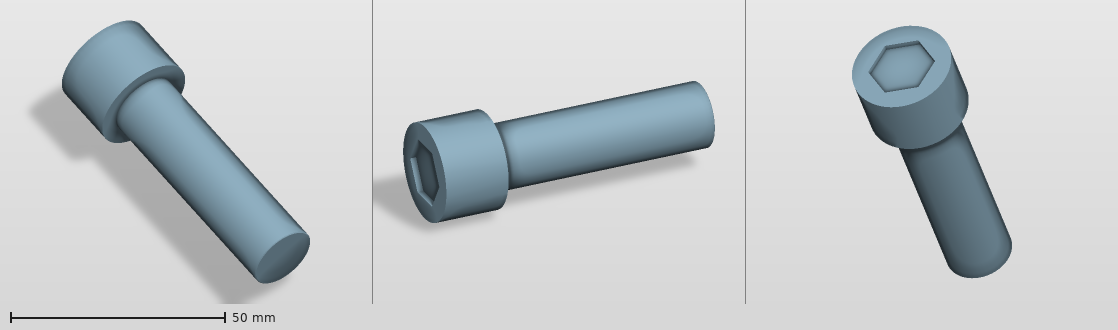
import cadquery as cq
import math

head_diameter = 24.0
head_height = 16.0
shank_diameter = 16.0
shank_length = 55.0
tip_chamfer = 0.2

socket_across_flats = 14.0
socket_depth = 1.5
socket_across_corners = socket_across_flats / math.cos(math.pi / 6)


def make_head():
    return cq.Workplane("YZ").circle(head_diameter / 2).extrude(head_height)


def make_shank():
    shank = (
        cq.Workplane("YZ")
        .workplane(offset=head_height)
        .circle(shank_diameter / 2)
        .extrude(shank_length)
    )
    return shank.faces(">X").edges().chamfer(tip_chamfer)


def make_socket():
    return cq.Workplane("YZ").polygon(6, socket_across_corners).extrude(socket_depth)


result = make_head().union(make_shank()).cut(make_socket())